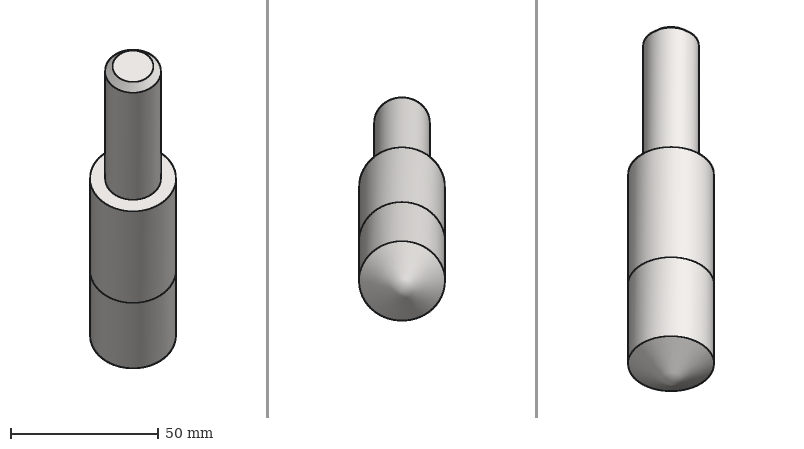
import cadquery as cq

total_length = 152.4
body_diameter = 29.3

cone_height = 9.1
joint_height = 44.0

shoulder_height = 92.8
shank_diameter = 19.0
shank_chamfer = 2.6


def make_tip():
    """Pointed cylinder, revolved about Z with its point at the origin."""
    radius = body_diameter / 2
    return (
        cq.Workplane("XZ")
        .lineTo(radius, cone_height)
        .lineTo(radius, joint_height)
        .lineTo(0, joint_height)
        .close()
        .revolve(360, (0, 0), (0, 1))
    )


def make_holder():
    """Cylinder seated on the tip, with a chamfered shank."""
    barrel = (
        cq.Workplane("XY", origin=(0, 0, joint_height))
        .circle(body_diameter / 2)
        .extrude(shoulder_height - joint_height)
    )
    shank = (
        cq.Workplane("XY", origin=(0, 0, shoulder_height))
        .circle(shank_diameter / 2)
        .extrude(total_length - shoulder_height)
        .faces(">Z")
        .chamfer(shank_chamfer)
    )
    return barrel.union(shank)


tip = make_tip()
holder = make_holder()

result = cq.Compound.makeCompound([tip.val(), holder.val()])